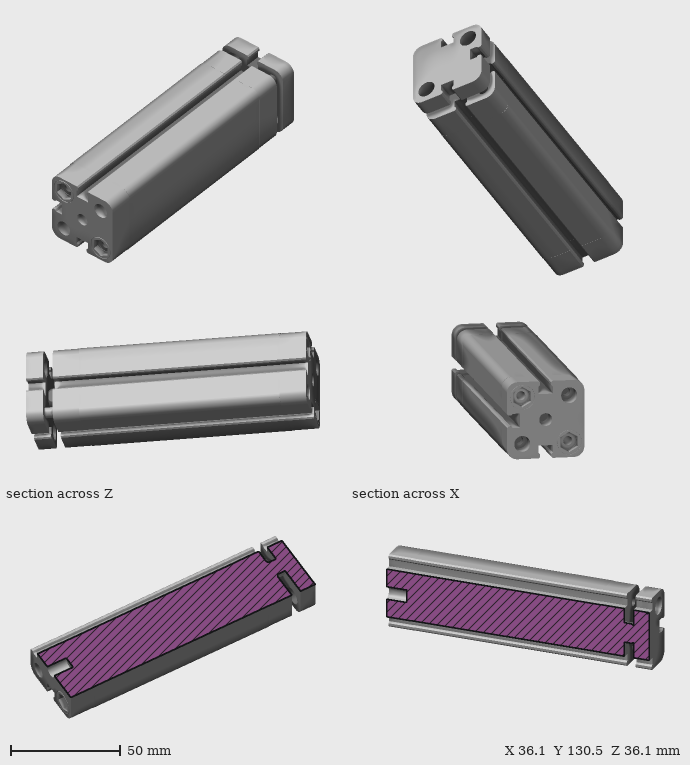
import cadquery as cq
import math


LENGTH = 130.5
WIDTH = 36.1
PLATE_THICKNESS = 8.0
PLATE_GAP = 4.5
CAP_LENGTH = 12.3
PLATE_START = LENGTH - PLATE_THICKNESS
BODY_END = PLATE_START - PLATE_GAP
TUBE_LENGTH = BODY_END - 2 * CAP_LENGTH

TUBE_WIDTH = 36.0
CAP_CORNER_RADIUS = 4.8
TUBE_CORNER_RADIUS = 4.2

SLOT_DEPTH = 6.0
SLOT_MOUTH_HALF = 2.55
SLOT_INNER_HALF = 3.33
SLOT_LIP_DEPTH = 1.8
SLOT_LIP_CHAMFER = 0.7
SLOT_ANGLES = (0, 90, 180)

HOLE_OFFSET = 11.0
SCREW_CORNERS = ((-HOLE_OFFSET, HOLE_OFFSET), (HOLE_OFFSET, -HOLE_OFFSET))
MOUNT_CORNERS = ((HOLE_OFFSET, HOLE_OFFSET), (-HOLE_OFFSET, -HOLE_OFFSET))
SCREW_SEAT_DIAMETER = 11.7
SCREW_HEAD_DIAMETER = 11.1
SCREW_GROOVE_DEPTH = 0.4
HEX_ACROSS_FLATS = 8.2
HEX_DEPTH = 3.0
SOCKET_RELIEF_DIAMETER = 8.0
SOCKET_RELIEF_DEPTH = 3.4
SCREW_BORE_DIAMETER = 4.2
MOUNT_DIAMETER = 7.5
MOUNT_DEPTH = 8.0
MOUNT_CORE_DIAMETER = 4.2
MOUNT_CORE_DEPTH = 12.3
CENTRE_HOLE_DIAMETER = 6.0
CENTRE_HOLE_DEPTH = 10.0
PLATE_HOLE_DIAMETER = 8.5

GUIDE_ROD_DIAMETER = 5.0
GUIDE_ROD_OFFSET = 12.0
GUIDE_ROD_CORNERS = ((GUIDE_ROD_OFFSET, GUIDE_ROD_OFFSET), (-GUIDE_ROD_OFFSET, -GUIDE_ROD_OFFSET))
PISTON_ROD_DIAMETER = 10.0
PISTON_ROD_FLATS = 8.4
PISTON_FLAT_RUNOUT = 0.8
PISTON_CHAMFER_LENGTH = 1.0
PISTON_CHAMFER_DEPTH = 0.5


def section_plane(y):
    """XZ sketch plane at the given Y whose extrusions run toward +Y; local x is -X, local y is Z."""
    return cq.Workplane(cq.Plane(origin=(0, y, 0), xDir=(-1, 0, 0), normal=(0, 1, 0)))


def cylinder(x, z, diameter, start, end):
    """Cylinder parallel to Y between two Y positions."""
    return section_plane(start).center(-x, z).circle(diameter / 2).extrude(end - start)


def slot_cutter(start, length, width):
    """Undercut slot with chamfered lips in the top face of a block of the given width."""
    top = width / 2
    floor = top - SLOT_DEPTH
    lip_end = top - SLOT_LIP_DEPTH
    undercut = lip_end - (SLOT_INNER_HALF - SLOT_MOUTH_HALF)
    chamfer_start = SLOT_MOUTH_HALF + SLOT_LIP_CHAMFER
    chamfer_end = top - SLOT_LIP_CHAMFER
    return (
        section_plane(start)
        .moveTo(-chamfer_start, top)
        .lineTo(-SLOT_MOUTH_HALF, chamfer_end)
        .lineTo(-SLOT_MOUTH_HALF, lip_end)
        .lineTo(-SLOT_INNER_HALF, undercut)
        .lineTo(-SLOT_INNER_HALF, floor)
        .lineTo(SLOT_INNER_HALF, floor)
        .lineTo(SLOT_INNER_HALF, undercut)
        .lineTo(SLOT_MOUTH_HALF, lip_end)
        .lineTo(SLOT_MOUTH_HALF, chamfer_end)
        .lineTo(chamfer_start, top)
        .close()
        .extrude(length)
    )


def slotted_block(start, length, width, corner_radius):
    """Square bar segment with rounded corners and a slot in each slotted face."""
    bar = section_plane(start).rect(width, width).extrude(length).edges("|Y").fillet(corner_radius)
    slot = slot_cutter(start, length, width)
    for angle in SLOT_ANGLES:
        bar = bar.cut(slot.rotate((0, 0, 0), (0, 1, 0), -angle))
    return bar


def screw_cutter(x, z):
    """Ring groove around the screw head, hexagon socket with a round relief, and bore through the body."""
    groove = cylinder(x, z, SCREW_SEAT_DIAMETER, 0, SCREW_GROOVE_DEPTH).cut(
        cylinder(x, z, SCREW_HEAD_DIAMETER, 0, SCREW_GROOVE_DEPTH)
    )
    hex_across_corners = HEX_ACROSS_FLATS / math.cos(math.radians(30))
    socket = (
        section_plane(0)
        .center(-x, z)
        .transformed(rotate=(0, 0, 30))
        .polygon(6, hex_across_corners)
        .extrude(HEX_DEPTH)
    )
    relief = cylinder(x, z, SOCKET_RELIEF_DIAMETER, 0, SOCKET_RELIEF_DEPTH)
    bore = cylinder(x, z, SCREW_BORE_DIAMETER, 0, BODY_END)
    return groove.union(socket).union(relief).union(bore)


def mount_cutter(x, z):
    """Blind mounting hole with a smaller core hole below it."""
    hole = cylinder(x, z, MOUNT_DIAMETER, 0, MOUNT_DEPTH)
    return hole.union(cylinder(x, z, MOUNT_CORE_DIAMETER, 0, MOUNT_CORE_DEPTH))


def piston_rod():
    """Round rod chamfered at the plate, with flats on its X sides sloping out at the body."""
    radius = PISTON_ROD_DIAMETER / 2
    flat = PISTON_ROD_FLATS / 2
    chamfer_start = PLATE_START - PISTON_CHAMFER_LENGTH
    runout_end = BODY_END + PISTON_FLAT_RUNOUT
    turned = (
        cq.Workplane("XY")
        .moveTo(0, BODY_END)
        .lineTo(radius, BODY_END)
        .lineTo(radius, chamfer_start)
        .lineTo(radius - PISTON_CHAMFER_DEPTH, PLATE_START)
        .lineTo(0, PLATE_START)
        .close()
        .revolve(360, (0, 0, 0), (0, 1, 0))
    )
    flats_outline = (
        cq.Workplane("XY")
        .moveTo(-radius, BODY_END)
        .lineTo(radius, BODY_END)
        .lineTo(flat, runout_end)
        .lineTo(flat, PLATE_START)
        .lineTo(-flat, PLATE_START)
        .lineTo(-flat, runout_end)
        .close()
        .extrude(radius, both=True)
    )
    return turned.intersect(flats_outline)


part = slotted_block(0, CAP_LENGTH, WIDTH, CAP_CORNER_RADIUS)
part = part.union(slotted_block(CAP_LENGTH, TUBE_LENGTH, TUBE_WIDTH, TUBE_CORNER_RADIUS))
part = part.union(slotted_block(BODY_END - CAP_LENGTH, CAP_LENGTH, WIDTH, CAP_CORNER_RADIUS))
part = part.union(slotted_block(PLATE_START, PLATE_THICKNESS, WIDTH, CAP_CORNER_RADIUS))

for x, z in SCREW_CORNERS:
    part = part.cut(screw_cutter(x, z))
    part = part.cut(cylinder(x, z, PLATE_HOLE_DIAMETER, PLATE_START, LENGTH))

for x, z in MOUNT_CORNERS:
    part = part.cut(mount_cutter(x, z))

part = part.cut(cylinder(0, 0, CENTRE_HOLE_DIAMETER, 0, CENTRE_HOLE_DEPTH))

part = part.union(piston_rod())
for x, z in GUIDE_ROD_CORNERS:
    part = part.union(cylinder(x, z, GUIDE_ROD_DIAMETER, BODY_END, PLATE_START))

result = part